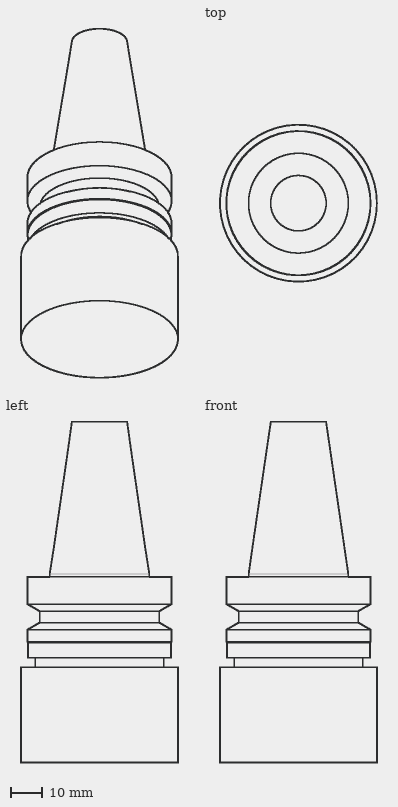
import cadquery as cq
import math

TOTAL_HEIGHT = 108.4

GAUGE_DIAMETER = 31.8
GAUGE_Z = 60.0
TAPER_RATIO = 7 / 24

FLANGE_DIAMETER = 46.0
FLANGE_TOP_Z = 59.1
FLANGE_BOTTOM_Z = 38.4
GROOVE_DIAMETER = 38.0
GROOVE_TOP_Z = 50.4
GROOVE_BOTTOM_Z = 42.3
GROOVE_WALL_ANGLE = 30.0

SLIT_DIAMETER = 40.0
SLIT_WIDTH = 0.2

COLLAR_DIAMETER = 45.6
COLLAR_BOTTOM_Z = 33.3
NECK_DIAMETER = 41.0

HEAD_DIAMETER = 50.0
HEAD_HEIGHT = 30.4


def make_holder():
    """Taper, grooved flange, collar and neck, revolved from one half profile."""
    gauge_radius = GAUGE_DIAMETER / 2
    tip_radius = gauge_radius - TAPER_RATIO * (TOTAL_HEIGHT - GAUGE_Z) / 2
    flange_radius = FLANGE_DIAMETER / 2
    groove_radius = GROOVE_DIAMETER / 2
    groove_wall_height = (flange_radius - groove_radius) * math.tan(math.radians(GROOVE_WALL_ANGLE))
    slit_radius = SLIT_DIAMETER / 2
    collar_radius = COLLAR_DIAMETER / 2
    collar_top_z = FLANGE_BOTTOM_Z - SLIT_WIDTH
    neck_radius = NECK_DIAMETER / 2
    half_profile = [
        (0, HEAD_HEIGHT),
        (neck_radius, HEAD_HEIGHT),
        (neck_radius, COLLAR_BOTTOM_Z),
        (collar_radius, COLLAR_BOTTOM_Z),
        (collar_radius, collar_top_z),
        (slit_radius, collar_top_z),
        (slit_radius, FLANGE_BOTTOM_Z),
        (flange_radius, FLANGE_BOTTOM_Z),
        (flange_radius, GROOVE_BOTTOM_Z),
        (groove_radius, GROOVE_BOTTOM_Z + groove_wall_height),
        (groove_radius, GROOVE_TOP_Z - groove_wall_height),
        (flange_radius, GROOVE_TOP_Z),
        (flange_radius, FLANGE_TOP_Z),
        (gauge_radius, FLANGE_TOP_Z),
        (gauge_radius, GAUGE_Z),
        (tip_radius, TOTAL_HEIGHT),
        (0, TOTAL_HEIGHT),
    ]
    return cq.Workplane("XZ").polyline(half_profile).close().revolve(360, (0, 0, 0), (0, 1, 0))


def make_head():
    """Plain cylinder whose top face carries the neck of the holder."""
    return cq.Workplane("XY").circle(HEAD_DIAMETER / 2).extrude(HEAD_HEIGHT)


holder = make_holder()
head = make_head()

result = cq.Compound.makeCompound([holder.val(), head.val()])